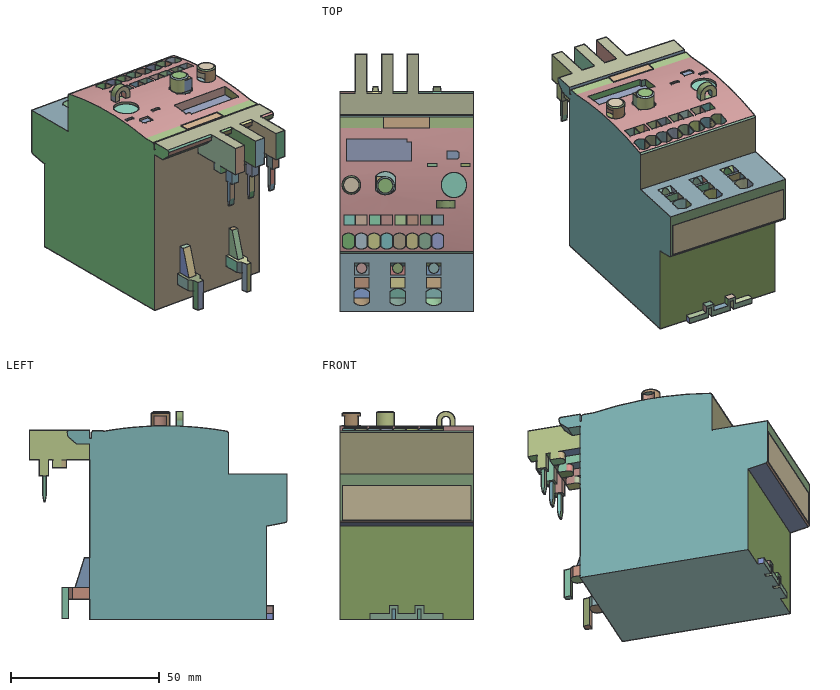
import cadquery as cq


WIDTH = 45.0
DEPTH = 86.5
HEIGHT = 69.9

BODY_FRONT_Y = 6.8
BODY_REAR_Y = 66.3
STEP_Y = 19.6
BODY_TOP_Z = 60.9

TERMINAL_TOP_Z = 48.9
TERMINAL_LOW_Z = 33.0
TERMINAL_CORNER = 0.5
TERMINAL_UNDER_Z = 31.3

PANEL_MARGIN = 0.9
PANEL_TOP_Z = 45.1
PANEL_BOTTOM_Z = 33.4
PANEL_DEPTH = 0.1

CAP_REAR_Y = 65.8
CAP_EDGE_Z = 63.2
CAP_CROWN_Z = 65.05
CAP_BEVEL = 0.5
STRIP_FRONT_Y = 61.6

PLATE_REAR_Y = 73.9
PLATE_TOP_Z = 63.6
PLATE_BOTTOM_Z = 58.9
PLATE_BEVEL = 0.6

BAR_WIDTH = 3.9
BAR_LEFTS = (5.2, 14.0, 22.6)
BAR_BOTTOM_Z = 53.6

CUT_CLEARANCE = 0.9


def block(x0, x1, y0, y1, z0, z1):
    """Box between two opposite corners."""
    return cq.Workplane("XY").box(x1 - x0, y1 - y0, z1 - z0, centered=False).translate((x0, y0, z0))


def side_profile(points, x0, x1):
    """Prism along X whose section is a list of (y, z) points."""
    return cq.Workplane("YZ", origin=(x0, 0, 0)).polyline(points).close().extrude(x1 - x0)


def plan_profile(points, z0, z1):
    """Prism along Z whose section is a list of (x, y) points."""
    return cq.Workplane("XY", origin=(0, 0, z0)).polyline(points).close().extrude(z1 - z0)


def cylinder(x, y, radius, z0, z1):
    return cq.Workplane("XY", origin=(x, y, z0)).circle(radius).extrude(z1 - z0)


def barrel_outline(x, y, z, width, length, bulge):
    """Slot outline with straight sides along Y and flat arcs at both ends."""
    half_width = width / 2
    half_length = length / 2
    shoulder = half_length - bulge
    return (
        cq.Workplane("XY", origin=(x, y, z))
        .moveTo(-half_width, -shoulder)
        .threePointArc((0, -half_length), (half_width, -shoulder))
        .lineTo(half_width, shoulder)
        .threePointArc((0, half_length), (-half_width, shoulder))
        .close()
    )


def make_body():
    points = [
        (BODY_FRONT_Y, 0),
        (BODY_REAR_Y, 0),
        (BODY_REAR_Y, BODY_TOP_Z),
        (STEP_Y, BODY_TOP_Z),
        (STEP_Y, TERMINAL_TOP_Z),
        (0, TERMINAL_TOP_Z),
        (0, TERMINAL_LOW_Z),
        (TERMINAL_CORNER, TERMINAL_LOW_Z - TERMINAL_CORNER),
        (BODY_FRONT_Y, TERMINAL_UNDER_Z),
    ]
    panel_right = WIDTH - PANEL_MARGIN
    panel = block(PANEL_MARGIN, panel_right, -CUT_CLEARANCE, PANEL_DEPTH, PANEL_BOTTOM_Z, PANEL_TOP_Z)
    return side_profile(points, 0, WIDTH).cut(panel)


def make_cap():
    arch_front_y = STEP_Y + CAP_BEVEL
    return (
        cq.Workplane("YZ")
        .moveTo(STEP_Y, BODY_TOP_Z)
        .lineTo(STEP_Y, CAP_EDGE_Z - CAP_BEVEL)
        .lineTo(arch_front_y, CAP_EDGE_Z)
        .threePointArc(((arch_front_y + STRIP_FRONT_Y) / 2, CAP_CROWN_Z), (STRIP_FRONT_Y, CAP_EDGE_Z))
        .lineTo(CAP_REAR_Y - CAP_BEVEL, CAP_EDGE_Z)
        .lineTo(CAP_REAR_Y, CAP_EDGE_Z - CAP_BEVEL)
        .lineTo(CAP_REAR_Y, BODY_TOP_Z)
        .close()
        .extrude(WIDTH)
    )


def make_logo_plate():
    left, right = 14.6, 30.2
    front, rear = 61.8, 65.3
    top = 63.5
    return block(left, right, front, rear, BODY_TOP_Z, top)


def make_plate():
    slope_start_z = 61.4
    slope_end_y = 70.7
    points = [
        (BODY_REAR_Y, PLATE_BOTTOM_Z),
        (slope_end_y, PLATE_BOTTOM_Z),
        (PLATE_REAR_Y - PLATE_BEVEL / 2, slope_start_z),
        (PLATE_REAR_Y, PLATE_TOP_Z - PLATE_BEVEL),
        (PLATE_REAR_Y - PLATE_BEVEL, PLATE_TOP_Z),
        (BODY_REAR_Y, PLATE_TOP_Z),
    ]
    return side_profile(points, 0, WIDTH)


def make_busbar(left):
    right = left + BAR_WIDTH
    bar = block(left, right, BODY_REAR_Y, DEPTH, BAR_BOTTOM_Z, PLATE_TOP_Z)

    collar_width, pin_inset = 2.8, 0.8
    pin_left = left + pin_inset
    pin_right = left + collar_width
    collar_front, collar_rear, collar_bottom = 80.1, 83.2, 48.3
    collar = block(left, pin_right, collar_front, collar_rear, collar_bottom, BAR_BOTTOM_Z)
    pin_front, pin_rear = 80.8, 82.1
    taper_top, tip_bottom = 41.95, 39.45
    tip_half = 0.22
    pin_middle = (pin_front + pin_rear) / 2
    pin_points = [
        (pin_front, collar_bottom),
        (pin_front, taper_top),
        (pin_middle - tip_half, tip_bottom),
        (pin_middle + tip_half, tip_bottom),
        (pin_rear, taper_top),
        (pin_rear, collar_bottom),
    ]
    pin = side_profile(pin_points, pin_left, pin_right)

    stud_front, stud_rear, stud_bottom = 74.05, 78.8, 50.95
    stud_front_radius, stud_rear_radius = 1.6, 0.35
    stud = block(left, right, stud_front, stud_rear, stud_bottom, BAR_BOTTOM_Z)
    stud = stud.edges("|Z and <Y").fillet(stud_front_radius)
    stud = stud.edges("|Z and >Y").fillet(stud_rear_radius)
    return bar.union(collar).union(pin).union(stud)


HOOK_SPANS = ((10.8, 13.15), (31.1, 34.2))


def make_hook(left, right):
    shoulder = 1.1
    arm_bottom, arm_top = 6.75, 10.8
    shoulder_y = 72.05
    shank_front, shank_rear, shank_bottom = 73.35, 75.6, 0.3
    taper = 0.35
    arm_points = [
        (left - shoulder, BODY_REAR_Y),
        (right + shoulder, BODY_REAR_Y),
        (right + shoulder, shoulder_y),
        (right, shank_front),
        (left, shank_front),
        (left - shoulder, shoulder_y),
    ]
    arm = plan_profile(arm_points, arm_bottom, arm_top)
    shank_points = [
        (left, shank_front),
        (right, shank_front),
        (right - taper, shank_rear),
        (left + taper, shank_rear),
    ]
    shank = plan_profile(shank_points, shank_bottom, arm_top)

    rib_top, rib_top_y, rib_foot_y = 20.8, 68.1, 71.2
    rib_points = [
        (BODY_REAR_Y, arm_top),
        (rib_foot_y, arm_top),
        (rib_top_y, rib_top),
        (BODY_REAR_Y, rib_top),
    ]
    rib = side_profile(rib_points, left, right)
    return arm.union(shank).union(rib)


def make_feet():
    left, right, top = 10.2, 34.6, 2.1
    front = 4.6
    feet = block(left, right, front, BODY_FRONT_Y, 0, top)
    hump_width, hump_top = 2.9, 4.7
    slot_width, slot_top = 1.2, 3.55
    hump_centres = (18.2, 26.7)
    for centre in hump_centres:
        hump = block(centre - hump_width / 2, centre + hump_width / 2, front, BODY_FRONT_Y, 0, hump_top)
        slot = block(centre - slot_width / 2, centre + slot_width / 2, front, BODY_FRONT_Y, 0, slot_top)
        feet = feet.union(hump).cut(slot)
    return feet


KNOB_BEVEL_WIDTH = 0.5
KNOB_BEVEL_HEIGHT = 0.35


def make_knob(x, y, radius, top):
    knob = cylinder(x, y, radius, BODY_TOP_Z, top)
    return knob.faces(">Z").edges().chamfer(KNOB_BEVEL_HEIGHT, KNOB_BEVEL_WIDTH)


def make_grip_knob():
    """Knob with a finger scoop on its left and right sides, below a rim."""
    x, y, radius, top = 3.9, 42.6, 3.1, 69.55
    scoop_top = 68.25
    scoop_bottom = 65.1
    scoop_radius = 2.5
    scoop_offset = 3.7
    knob = make_knob(x, y, radius, top)
    for side in (-1, 1):
        knob = knob.cut(cylinder(x + side * scoop_offset, y, scoop_radius, scoop_bottom, scoop_top))
    return knob


POINTER_X = 15.3
POINTER_Y = 42.3
POINTER_RADIUS = 3.0


def make_pointer_knob():
    """Knob with a square corner filling its rear left quarter."""
    top = 69.8
    corner_top = 68.85
    left = POINTER_X - POINTER_RADIUS
    rear = POINTER_Y + POINTER_RADIUS
    corner = block(left, POINTER_X, POINTER_Y, rear, BODY_TOP_Z, corner_top)
    return make_knob(POINTER_X, POINTER_Y, POINTER_RADIUS, top).union(corner)


def make_sealing_loop():
    x = 35.6
    front, rear = 34.9, 37.3
    outer_radius, inner_radius = 3.1, 1.4
    foot_z = 64.0
    eye_bottom_z = 65.0
    eye_z = HEIGHT - outer_radius
    plane = cq.Workplane("XZ", origin=(x, rear, eye_z))
    loop = plane.circle(outer_radius).extrude(rear - front)
    loop = loop.union(block(x - outer_radius, x + outer_radius, front, rear, foot_z, eye_z))
    eye = plane.circle(inner_radius).extrude(rear - front)
    eye = eye.union(block(x - inner_radius, x + inner_radius, front, rear, eye_bottom_z, eye_z))
    return loop.cut(eye)


def make_display_pocket():
    """Flat-floored window with one notched corner."""
    floor = 61.5
    left, right, front, rear = 2.3, 24.1, 50.7, 58.0
    notch_x, notch_y = 1.6, 1.1
    points = [
        (left, front),
        (right, front),
        (right, rear - notch_y),
        (right - notch_x, rear - notch_y),
        (right - notch_x, rear),
        (left, rear),
    ]
    return plan_profile(points, floor, HEIGHT)


def make_indicator_pockets():
    """Lamp window with two clipped corners, and two narrow slots."""
    lamp_left, lamp_right, lamp_front, lamp_rear = 36.0, 40.0, 51.2, 54.0
    clip = 0.5
    lamp_floor = 63.9
    lamp_points = [
        (lamp_left, lamp_front),
        (lamp_right - clip, lamp_front),
        (lamp_right, lamp_front + clip),
        (lamp_right, lamp_rear - clip),
        (lamp_right - clip, lamp_rear),
        (lamp_left, lamp_rear),
    ]
    pockets = plan_profile(lamp_points, lamp_floor, HEIGHT)
    slot_width, slot_front, slot_rear, slot_floor = 3.1, 48.7, 49.8, 64.2
    for slot_left in (29.5, 40.65):
        pockets = pockets.union(
            block(slot_left, slot_left + slot_width, slot_front, slot_rear, slot_floor, HEIGHT)
        )
    return pockets


def make_button_pocket():
    x, y, radius, floor = 38.3, 42.6, 4.2, 64.2
    return cylinder(x, y, radius, floor, HEIGHT)


def make_pointer_recess():
    """Shallow clearance around the pointer knob, bulging toward the rear."""
    y, width, length, bulge, floor = 43.2, 6.75, 7.8, 1.7, 64.5
    return barrel_outline(POINTER_X, y, floor, width, length, bulge).extrude(HEIGHT - floor)


CONTROL_HOLE_DEPTH = 5.2
CONTROL_PAIR_PITCH = 8.6


def make_control_wire_holes():
    """Four pairs of square wire openings, each split by a thin wall."""
    first_left = 1.5
    hole_width, wall = 3.7, 0.2
    front, rear = 29.1, 32.5
    floor = CAP_EDGE_Z - CONTROL_HOLE_DEPTH
    holes = cq.Workplane("XY")
    for pair in range(4):
        for half in range(2):
            left = first_left + pair * CONTROL_PAIR_PITCH + half * (hole_width + wall)
            holes = holes.union(block(left, left + hole_width, front, rear, floor, HEIGHT))
    return holes


def make_control_screw_holes():
    """Row of eight round screw openings with flattened sides."""
    first_x, y = 2.9, 23.7
    pitch = CONTROL_PAIR_PITCH / 2
    width, length, bulge = 4.0, 5.4, 0.95
    floor = CAP_EDGE_Z - CONTROL_HOLE_DEPTH
    holes = cq.Workplane("XY")
    for i in range(8):
        outline = barrel_outline(first_x + i * pitch, y, floor, width, length, bulge)
        holes = holes.union(outline.extrude(HEIGHT - floor))
    return holes


TERMINAL_XS = (7.35, 19.5, 31.6)
TERMINAL_HOLE_DEPTH = 7.8


def make_terminal_holes(x):
    """Probe pocket, wire opening and screw opening of one main terminal."""
    top = TERMINAL_TOP_Z
    floor = top - TERMINAL_HOLE_DEPTH
    half_width = 2.4

    pocket_front, pocket_rear, pocket_depth, ramp_run = 12.4, 16.4, 1.9, 1.1
    pocket_points = [
        (pocket_front, top),
        (pocket_front, top - pocket_depth),
        (pocket_rear - ramp_run, top - pocket_depth),
        (pocket_rear, top),
    ]
    probe = side_profile(pocket_points, x - half_width, x + half_width)
    probe_y, probe_radius = 14.6, 1.7
    probe = probe.union(cylinder(x, probe_y, probe_radius, floor, top))

    wire_front, wire_rear = 8.0, 11.5
    wire = block(x - half_width, x + half_width, wire_front, wire_rear, floor, top)

    screw_y, screw_width, screw_length, bulge = 4.9, 5.2, 5.7, 1.0
    split_y = 4.7
    lean = 3.5
    outline = barrel_outline(x, screw_y, top, screw_width, screw_length, bulge)
    straight = outline.extrude(-TERMINAL_HOLE_DEPTH)
    straight = straight.cut(block(x - screw_width, x + screw_width, 0, split_y, floor, top))
    leaning = cq.Workplane(
        cq.Solid.extrudeLinear(outline.wire().val(), [], cq.Vector(0, lean, -TERMINAL_HOLE_DEPTH))
    )
    leaning = leaning.intersect(block(x - screw_width, x + screw_width, 0, split_y, floor, top))
    return probe.union(wire).union(straight).union(leaning)


result = make_body().union(make_cap()).union(make_logo_plate()).union(make_plate())

for opening in (
    make_display_pocket(),
    make_indicator_pockets(),
    make_button_pocket(),
    make_pointer_recess(),
    make_control_wire_holes(),
    make_control_screw_holes(),
):
    result = result.cut(opening)

for terminal_x in TERMINAL_XS:
    result = result.cut(make_terminal_holes(terminal_x))

for bar_left in BAR_LEFTS:
    result = result.union(make_busbar(bar_left))

for hook_left, hook_right in HOOK_SPANS:
    result = result.union(make_hook(hook_left, hook_right))

for addition in (make_feet(), make_grip_knob(), make_pointer_knob(), make_sealing_loop()):
    result = result.union(addition)